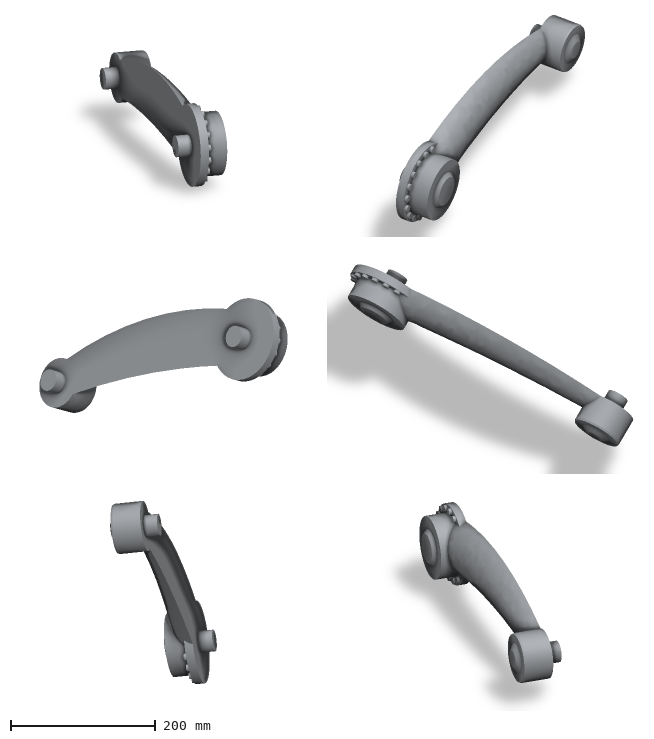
import cadquery as cq
import math

TOTAL_LENGTH = 442.5

SMALL_HUB_RADIUS = 35.0
LARGE_HUB_RADIUS = 44.5
FLANGE_RADIUS = 57.5
FLANGE_THICKNESS = 12.0
HUB_HEIGHT = 42.0
HUB_SPACING = TOTAL_LENGTH - SMALL_HUB_RADIUS - FLANGE_RADIUS

RIM_BEVEL_HEIGHT = 2.5
RIM_BEVEL_WIDTH = 1.0

CAP_HEIGHT = 5.5
SMALL_CAP_BASE_RADIUS = 21.5
SMALL_CAP_TOP_RADIUS = 12.5
LARGE_CAP_BASE_RADIUS = 26.5
LARGE_CAP_TOP_RADIUS = LARGE_CAP_BASE_RADIUS - CAP_HEIGHT

PIN_RADIUS = 15.0
PIN_LENGTH = 19.5

PEG_COUNT = 13
PEG_PITCH = 20
FIRST_PEG_ANGLE = -130
PEG_RADIUS = 5.0
PEG_HEIGHT = 4.0
PEG_RING_RADIUS = (LARGE_HUB_RADIUS + FLANGE_RADIUS) / 2

UPPER_EDGE = ((18.5, 31.5), (190.5, 62.5), (318.5, 48.5))
LOWER_EDGE = ((29.0, -21.2), (144.0, -17.0), (300.0, -29.0))
ARM_START = 9.0
ARM_END = 336.5
CROWN_START = 19.5
CROWN_END = 33.0
ARM_SECTIONS = 7


def edge_height(points, x):
    """Z at x on the upper half of the circle through three (x, z) points."""
    (x1, z1), (x2, z2), (x3, z3) = points
    s1 = x1**2 + z1**2
    s2 = x2**2 + z2**2
    s3 = x3**2 + z3**2
    d = 2 * (x1 * (z2 - z3) + x2 * (z3 - z1) + x3 * (z1 - z2))
    center_x = (s1 * (z2 - z3) + s2 * (z3 - z1) + s3 * (z1 - z2)) / d
    center_z = (s1 * (x3 - x2) + s2 * (x1 - x3) + s3 * (x2 - x1)) / d
    radius = math.hypot(x1 - center_x, z1 - center_z)
    return center_z + math.sqrt(radius**2 - (x - center_x) ** 2)


def disc(x, z, radius, base, height):
    """Cylinder along +Y, starting at y = base."""
    start = cq.Vector(x, base, z)
    return cq.Workplane(cq.Solid.makeCylinder(radius, height, start, cq.Vector(0, 1, 0)))


def cone(x, base_radius, top_radius, base, height):
    """Truncated cone along +Y on a hub axis, starting at y = base."""
    start = cq.Vector(x, base, 0)
    return cq.Workplane(cq.Solid.makeCone(base_radius, top_radius, height, start, cq.Vector(0, 1, 0)))


def make_arm():
    """Loft of circular segments: flat at y = 0, with a crown that grows along X."""
    sections = []
    for i in range(ARM_SECTIONS):
        fraction = i / (ARM_SECTIONS - 1)
        x = ARM_START + fraction * (ARM_END - ARM_START)
        crown = CROWN_START + fraction * (CROWN_END - CROWN_START)
        upper = edge_height(UPPER_EDGE, x)
        lower = edge_height(LOWER_EDGE, x)
        bottom_point = cq.Vector(x, 0, lower)
        crown_point = cq.Vector(x, crown, (upper + lower) / 2)
        top_point = cq.Vector(x, 0, upper)
        back = cq.Edge.makeThreePointArc(bottom_point, crown_point, top_point)
        front = cq.Edge.makeLine(top_point, bottom_point)
        sections.append(cq.Wire.assembleEdges([back, front]))
    return cq.Workplane(cq.Solid.makeLoft(sections))


def make_small_hub():
    straight_height = HUB_HEIGHT - RIM_BEVEL_HEIGHT
    body = disc(0, 0, SMALL_HUB_RADIUS, 0, straight_height)
    rim_radius = SMALL_HUB_RADIUS - RIM_BEVEL_WIDTH
    rim = cone(0, SMALL_HUB_RADIUS, rim_radius, straight_height, RIM_BEVEL_HEIGHT)
    cap = cone(0, SMALL_CAP_BASE_RADIUS, SMALL_CAP_TOP_RADIUS, HUB_HEIGHT, CAP_HEIGHT)
    pin = disc(0, 0, PIN_RADIUS, -PIN_LENGTH, PIN_LENGTH)
    return body.union(rim).union(cap).union(pin)


def make_large_hub():
    flange = disc(HUB_SPACING, 0, FLANGE_RADIUS, 0, FLANGE_THICKNESS)
    body = disc(HUB_SPACING, 0, LARGE_HUB_RADIUS, 0, HUB_HEIGHT)
    cap = cone(HUB_SPACING, LARGE_CAP_BASE_RADIUS, LARGE_CAP_TOP_RADIUS, HUB_HEIGHT, CAP_HEIGHT)
    pin = disc(HUB_SPACING, 0, PIN_RADIUS, -PIN_LENGTH, PIN_LENGTH)
    hub = flange.union(body).union(cap).union(pin)
    for i in range(PEG_COUNT):
        angle = math.radians(FIRST_PEG_ANGLE + i * PEG_PITCH)
        peg_x = HUB_SPACING + PEG_RING_RADIUS * math.cos(angle)
        peg_z = PEG_RING_RADIUS * math.sin(angle)
        hub = hub.union(disc(peg_x, peg_z, PEG_RADIUS, 0, FLANGE_THICKNESS + PEG_HEIGHT))
    return hub


result = make_arm().union(make_small_hub()).union(make_large_hub())